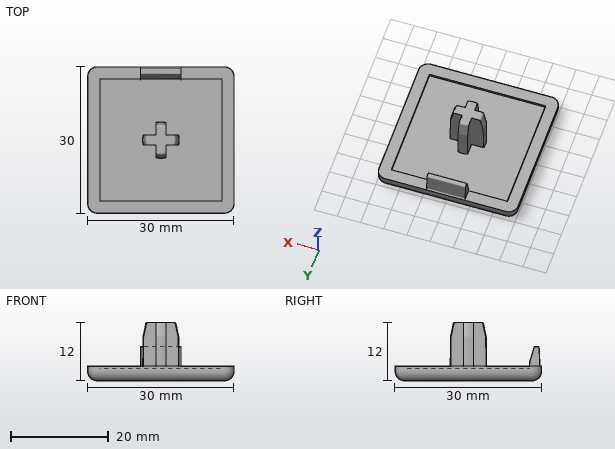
import cadquery as cq

plate_side = 30.0
plate_thickness = 3.0
plate_round = 2.0

pocket_side = 25.0
pocket_depth = 0.5
pocket_floor = plate_thickness - pocket_depth

total_height = 12.0
post_base_radius = 3.75
post_shoulder_radius = 3.68
arm_width = 2.05
arm_trim_allowance = 0.5
inner_corner_round = 0.2
taper_start = 9.0
post_tip_radius = 3.05
post_tip_round = 0.5

clip_width = 8.3
clip_height = 4.0
clip_top = plate_thickness + clip_height
clip_knee = plate_thickness + 1.0
clip_outer_base_y = 14.68
clip_outer_top_y = 14.5
clip_inner_top_y = 13.47
clip_inner_knee_y = 12.57
clip_inner_base_y = 12.45
clip_outer_tip_round = 0.25
clip_inner_tip_round = 0.15
clip_foot_round = 0.2
edge_margin = 0.02


def make_plate():
    """Square plate with rounded corners, a rounded underside and a top pocket."""
    plate = cq.Workplane("XY").rect(plate_side, plate_side).extrude(plate_thickness)
    plate = plate.edges("|Z or <Z").fillet(plate_round)
    pocket = cq.Workplane("XY").workplane(offset=pocket_floor)
    return plate.cut(pocket.rect(pocket_side, pocket_side).extrude(pocket_depth))


def make_post():
    """Cross-shaped bar trimmed by a round envelope that tapers to a rounded tip."""
    post_height = total_height - pocket_floor
    base = cq.Workplane("XY").workplane(offset=pocket_floor)
    arm_length = 2 * (post_base_radius + arm_trim_allowance)
    cross = base.rect(arm_length, arm_width).extrude(post_height)
    cross = cross.union(base.rect(arm_width, arm_length).extrude(post_height))
    inner_corners = cq.selectors.BoxSelector(
        (-arm_width, -arm_width, pocket_floor),
        (arm_width, arm_width, total_height),
    )
    cross = cross.edges("|Z").edges(inner_corners).fillet(inner_corner_round)

    envelope = (
        cq.Workplane("XZ")
        .moveTo(0, pocket_floor)
        .lineTo(post_base_radius, pocket_floor)
        .lineTo(post_shoulder_radius, taper_start)
        .lineTo(post_tip_radius, total_height)
        .lineTo(0, total_height)
        .close()
        .revolve(360, (0, 0), (0, 1))
        .faces(">Z").edges().fillet(post_tip_round)
    )
    return cross.intersect(envelope)


def make_clip():
    """Wedge-shaped clip with a rounded tip, running down to the pocket floor."""
    profile = (
        cq.Workplane("YZ")
        .moveTo(clip_outer_base_y, pocket_floor)
        .lineTo(clip_outer_base_y, plate_thickness)
        .lineTo(clip_outer_top_y, clip_top)
        .lineTo(clip_inner_top_y, clip_top)
        .lineTo(clip_inner_knee_y, clip_knee)
        .lineTo(clip_inner_base_y, plate_thickness)
        .lineTo(clip_inner_base_y, pocket_floor)
        .close()
    )
    clip = profile.extrude(clip_width / 2, both=True)
    clip = clip.faces(">Z").edges(">Y").fillet(clip_outer_tip_round)
    return clip.faces(">Z").edges("<Y").fillet(clip_inner_tip_round)


def round_clip_foot(part, foot_y, foot_z):
    """Blend a clip face into the flat it stands on, along one straight foot edge."""
    half_width = clip_width / 2
    foot_edge = cq.selectors.BoxSelector(
        (-half_width, foot_y - edge_margin, foot_z - edge_margin),
        (half_width, foot_y + edge_margin, foot_z + edge_margin),
    )
    return part.edges("|X").edges(foot_edge).fillet(clip_foot_round)


result = make_plate().union(make_post()).union(make_clip())
result = round_clip_foot(result, clip_outer_base_y, plate_thickness)
result = round_clip_foot(result, clip_inner_base_y, pocket_floor)